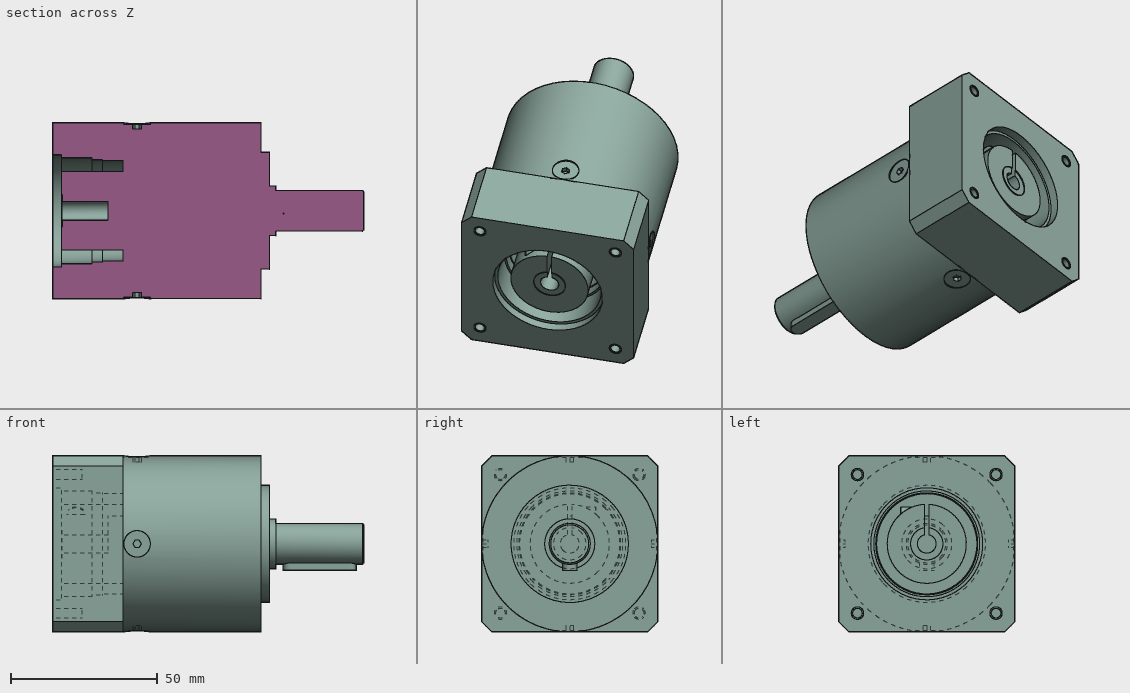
import cadquery as cq

total_length = 106.0
plate_side = 60.0
plate_length = 24.0
plate_corner_chamfer = 3.5

housing_diameter = 60.0
housing_end = 71.0
pilot_diameter = 40.0
pilot_end = 73.9
collar_diameter = 17.1
collar_end = 76.0
shaft_diameter = 14.0
shaft_chamfer = 0.5

key_length = 25.0
key_width = 5.0
key_end_gap = 2.5
key_reach = 9.0
key_depth_in_shaft = 3.0

mount_hole_spacing = 47.2
mount_hole_diameter = 3.3
mount_hole_mouth_diameter = 4.2
mount_hole_mouth_depth = 0.2
mount_hole_depth = 10.0

spigot_diameter = 38.2
spigot_depth = 3.0
cavity_diameter = 36.0
cavity_depth = 13.4
inner_cavity_diameter = 34.8
inner_cavity_depth = 17.0
floor_diameter = 34.1

hub_diameter = 26.9
hub_face = 3.0
bushing_diameter = 11.0
bushing_recess = 0.3
bore_diameter = 6.4
bore_depth = 15.9
slot_width = 1.6
slot_step_height = 9.4
slot_overrun = 1.1

screw_head_diameter = 7.0
screw_head_x = 8.0
screw_head_z = 9.1
screw_head_end = 9.0
screw_head_chamfer = 0.3

plug_diameter = 9.0
plug_gap = 0.3
plug_x = plate_length + plug_gap + plug_diameter / 2
plug_seat_depth = 0.5
plug_count = 4
socket_corner_diameter = 2.9
socket_depth = 1.6


def x_cylinder(diameter, start, end):
    """Cylinder on the gearbox axis between two x positions."""
    return cq.Workplane("YZ", origin=(start, 0, 0)).circle(diameter / 2).extrude(end - start)


def make_plate():
    plate = cq.Workplane("YZ").rect(plate_side, plate_side).extrude(plate_length)
    return plate.edges("|X").chamfer(plate_corner_chamfer)


def make_output_side():
    shaft = x_cylinder(shaft_diameter, plate_length, total_length)
    shaft = shaft.faces(">X").chamfer(shaft_chamfer)
    return (
        x_cylinder(housing_diameter, plate_length, housing_end)
        .union(x_cylinder(pilot_diameter, plate_length, pilot_end))
        .union(x_cylinder(collar_diameter, plate_length, collar_end))
        .union(shaft)
    )


def make_key():
    """Round-ended key reaching below the shaft."""
    key_centre = total_length - key_end_gap - key_length / 2
    key_top = shaft_diameter / 2 - key_depth_in_shaft
    return (
        cq.Workplane("XY", origin=(key_centre, 0, -key_reach))
        .slot2D(key_length, key_width)
        .extrude(key_reach - key_top)
    )


def make_cavity():
    return (
        x_cylinder(spigot_diameter, 0, spigot_depth)
        .union(x_cylinder(cavity_diameter, 0, cavity_depth))
        .union(x_cylinder(inner_cavity_diameter, 0, inner_cavity_depth))
        .union(x_cylinder(floor_diameter, 0, plate_length))
    )


def make_slot(bottom, depth):
    """Radial slot cutter from height `bottom` out past the top of the hub."""
    height = hub_diameter / 2 - bottom + slot_overrun
    return cq.Workplane("XY", origin=(hub_face, 0, bottom)).box(
        depth, slot_width, height, centered=(False, True, False)
    )


def make_hub():
    hub = x_cylinder(hub_diameter, hub_face, plate_length)
    screw_head = (
        cq.Workplane("XZ", origin=(screw_head_x, 0, screw_head_z))
        .circle(screw_head_diameter / 2)
        .extrude(-screw_head_end)
        .faces(">Y")
        .chamfer(screw_head_chamfer)
    )
    hub = hub.union(screw_head)
    hub = hub.cut(x_cylinder(bushing_diameter, hub_face, hub_face + bushing_recess))
    hub = hub.cut(x_cylinder(bore_diameter, hub_face, hub_face + bore_depth))
    hub = hub.cut(make_slot(0, bore_depth))
    return hub.cut(make_slot(slot_step_height, plate_length - hub_face))


def make_mount_hole():
    """Blind hole cutter with a shallow counterbored mouth."""
    mouth = x_cylinder(mount_hole_mouth_diameter, 0, mount_hole_mouth_depth)
    return mouth.union(x_cylinder(mount_hole_diameter, 0, mount_hole_depth))


def make_plug_cut():
    """Cutter for the plug on top of the housing."""
    seat_height = housing_diameter / 2 - plug_seat_depth
    seat_plane = cq.Workplane("XY", origin=(plug_x, 0, seat_height))
    seat = seat_plane.circle(plug_diameter / 2).extrude(2 * plug_seat_depth)
    socket = seat_plane.polygon(6, socket_corner_diameter).extrude(-socket_depth)
    return seat.union(socket)


result = make_plate().union(make_output_side()).union(make_key())
result = result.cut(make_cavity()).union(make_hub())

half_spacing = mount_hole_spacing / 2
for side_y in (-1, 1):
    for side_z in (-1, 1):
        position = (0, side_y * half_spacing, side_z * half_spacing)
        result = result.cut(make_mount_hole().translate(position))

for index in range(plug_count):
    angle = index * 360 / plug_count
    result = result.cut(make_plug_cut().rotate((0, 0, 0), (1, 0, 0), angle))